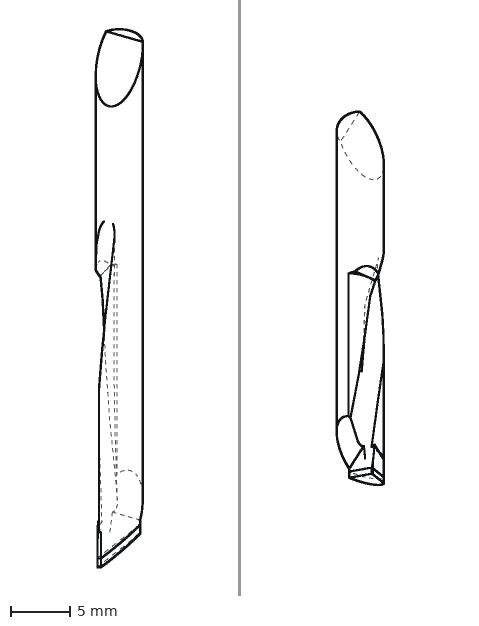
import cadquery as cq
import math

length = 54.0
radius = 2.0
reach = 2 * radius

bevel_start_y = 0.95
bevel_low_z = 48.7

twist_rate = 3.056
flute_top = 27.45
runout_top = 37.05
flute_corner = (-0.25, -0.15)
runout_corner = (0.7, -2.0)
flute_corner_radius = 0.3

relief_radius = 3.45
relief_left_x = -1.5
relief_step_low_z = 30.1
relief_step_high_z = 31.0
relief_bottom = 4.85

shoulder_low_z = 5.95
shoulder_high_z = 9.2

flat_top = 4.85
flat_start = (-0.8, -1.85)
flat_end = (-2.0, -0.15)

point_high_z = 4.6
tip_height = 0.9


def upper_bevel():
    slope = (length - bevel_low_z) / (bevel_start_y + radius)
    outer_z = length - slope * (bevel_start_y + reach)
    outline = [(bevel_start_y, length), (-reach, length), (-reach, outer_z)]
    return cq.Workplane("YZ").polyline(outline).close().extrude(reach, both=True)


def notch_wire(corner, z):
    """L-shaped notch open toward -X and -Y, with its inner corner rounded."""
    x, y = corner
    r = flute_corner_radius
    inset = r * (1 - math.sqrt(0.5))
    plane = cq.Workplane("XY").workplane(offset=z)
    outline = plane.moveTo(x, y - reach).lineTo(x, y - r)
    outline = outline.threePointArc((x - inset, y - inset), (x - r, y))
    return outline.lineTo(x - reach, y).lineTo(x - reach, y - reach).close()


def twisted_flute():
    notch = notch_wire(flute_corner, 0).twistExtrude(flute_top, twist_rate * flute_top)
    return notch.rotate((0, 0, 0), (0, 0, 1), -twist_rate * flute_top)


def flute_runout():
    low = notch_wire(flute_corner, flute_top).val()
    high = notch_wire(runout_corner, runout_top).val()
    return cq.Workplane(cq.Solid.makeLoft([low, high], True))


def eccentric_relief():
    slope = (relief_step_high_z - relief_step_low_z) / (relief_left_x + radius)
    outer_z = relief_step_low_z + slope * (relief_left_x + reach)
    side = [(-reach, relief_bottom), (0, relief_bottom), (0, relief_step_low_z),
            (relief_left_x, relief_step_low_z), (-reach, outer_z)]
    block = cq.Workplane("XZ").polyline(side).close().extrude(reach, both=True)
    core = cq.Workplane("XY").center(relief_left_x + relief_radius, 0).circle(relief_radius).extrude(length)
    return block.cut(core)


def lower_shoulder():
    slope = (shoulder_high_z - shoulder_low_z) / radius
    outer_z = shoulder_low_z + slope * reach
    outline = [(0, 0), (0, shoulder_low_z), (reach, outer_z), (reach, 0)]
    return cq.Workplane("YZ").polyline(outline).close().extrude(reach, both=True)


def side_flat():
    outline = [flat_start, flat_end, (-reach, flat_end[1]), (-reach, -reach), (flat_start[0], -reach)]
    return cq.Workplane("XY").polyline(outline).close().extrude(flat_top)


def below_point(raise_by):
    """Everything under the slanted point plane, lifted by the given height."""
    slope = point_high_z / (2 * radius)
    low_z = raise_by + slope * (radius - reach)
    high_z = raise_by + slope * (radius + reach)
    outline = [(-reach, low_z), (reach, high_z), (reach, -reach), (-reach, -reach)]
    return cq.Workplane("XZ").polyline(outline).close().extrude(reach, both=True)


def pointed_rod():
    rod = cq.Workplane("XY").circle(radius).extrude(length)
    rod = rod.cut(upper_bevel()).cut(eccentric_relief())
    rod = rod.cut(twisted_flute()).cut(flute_runout())
    rod = rod.cut(lower_shoulder()).cut(side_flat())
    return rod.cut(below_point(0))


whole_rod = pointed_rod()
shank = whole_rod.cut(below_point(tip_height))
tip = whole_rod.intersect(below_point(tip_height))

result = cq.Compound.makeCompound([*shank.solids().vals(), *tip.solids().vals()])